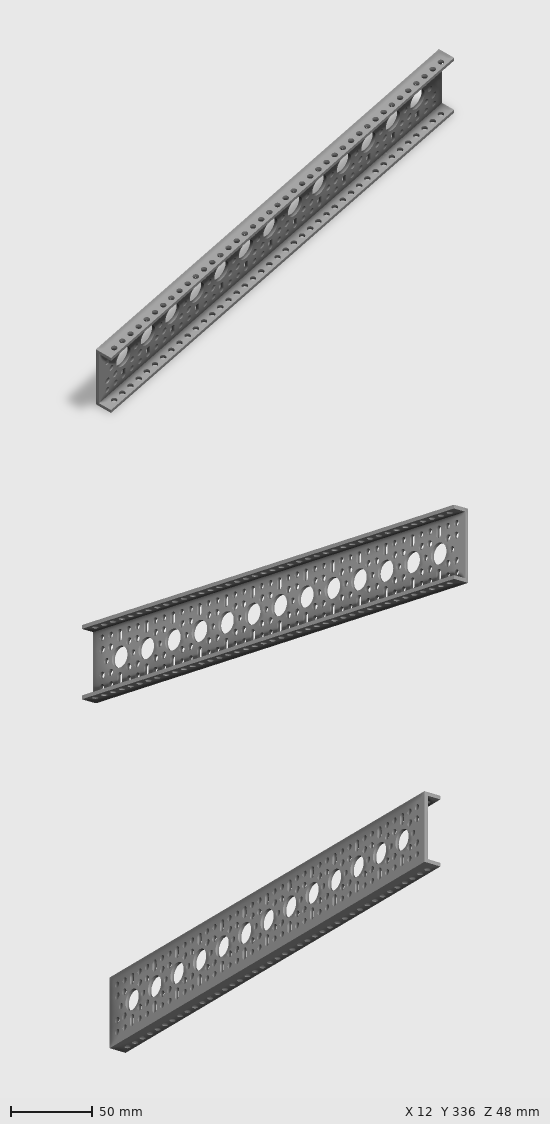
import cadquery as cq
import math

length = 336.0
pitches_along_length = 42
pitch = length / pitches_along_length
height = 6 * pitch
flange_width = 1.5 * pitch
wall = 2.5

hole_diameter = pitch / 2
bore_diameter = 1.75 * pitch
bore_count = 13
bore_spacing = 3 * pitch
ring_radius = bore_spacing / 2
outer_row_z = 2 * pitch

upright_angle = 90
upright_slot_length = outer_row_z - ring_radius + hole_diameter
upright_slot_z = (outer_row_z + ring_radius) / 2

diagonal_angle = 45
grid_radius = math.hypot(pitch, pitch)
diagonal_slot_length = ring_radius - grid_radius + hole_diameter
diagonal_slot_radius = (grid_radius + ring_radius) / 2

flange_hole_x = pitch - flange_width / 2


def centered_positions(count, spacing):
    """Evenly spaced positions, symmetric about zero."""
    return [(i - (count - 1) / 2) * spacing for i in range(count)]


bore_positions = centered_positions(bore_count, bore_spacing)
between_positions = centered_positions(bore_count + 1, bore_spacing)
grid_positions = centered_positions(pitches_along_length - 1, pitch)


def make_channel():
    """C-shaped channel along Y, with its web on -X and its open side on +X."""
    block = cq.Workplane("XY").box(flange_width, length, height)
    cavity = (
        cq.Workplane("XY")
        .box(flange_width, length, height - 2 * wall)
        .translate((wall, 0, 0))
    )
    return block.cut(cavity)


def web_sketch():
    """Sketch plane on the outer web face, with local axes along Y and Z."""
    return cq.Workplane("YZ", origin=(-flange_width / 2, 0, 0))


def web_bores():
    """Large bores along the middle of the web."""
    centers = [(y, 0) for y in bore_positions]
    return web_sketch().pushPoints(centers).circle(bore_diameter / 2).extrude(wall)


def web_middle_holes():
    """Small holes between the bores and beyond the two end bores."""
    centers = [(y, 0) for y in between_positions]
    return web_sketch().pushPoints(centers).circle(hole_diameter / 2).extrude(wall)


def web_upright_slots():
    """Upright slots above and below each bore."""
    centers = [(y, side * upright_slot_z) for y in bore_positions for side in (-1, 1)]
    return (
        web_sketch()
        .pushPoints(centers)
        .slot2D(upright_slot_length, hole_diameter, upright_angle)
        .extrude(wall)
    )


def web_outer_rows():
    """Rows of holes at the top and bottom of the web, in pairs between the upright slots."""
    centers = [
        (y + offset, side * outer_row_z)
        for y in between_positions
        for offset in (-pitch / 2, pitch / 2)
        for side in (-1, 1)
    ]
    return web_sketch().pushPoints(centers).circle(hole_diameter / 2).extrude(wall)


def web_diagonal_slots(direction):
    """Short slots on one diagonal through the bores; direction is 1 (rising along Y) or -1."""
    reach = diagonal_slot_radius * math.cos(math.radians(diagonal_angle))
    inset = bore_spacing / 2 - reach
    centers = [
        (y - side * inset, side * direction * reach)
        for y in between_positions
        for side in (-1, 1)
    ]
    return (
        web_sketch()
        .pushPoints(centers)
        .slot2D(diagonal_slot_length, hole_diameter, direction * diagonal_angle)
        .extrude(wall)
    )


def flange_holes():
    """One row of holes through both flanges."""
    centers = [(flange_hole_x, y) for y in grid_positions]
    return (
        cq.Workplane("XY")
        .pushPoints(centers)
        .circle(hole_diameter / 2)
        .extrude(height / 2, both=True)
    )


result = (
    make_channel()
    .cut(web_bores())
    .cut(web_middle_holes())
    .cut(web_upright_slots())
    .cut(web_outer_rows())
    .cut(web_diagonal_slots(1))
    .cut(web_diagonal_slots(-1))
    .cut(flange_holes())
)